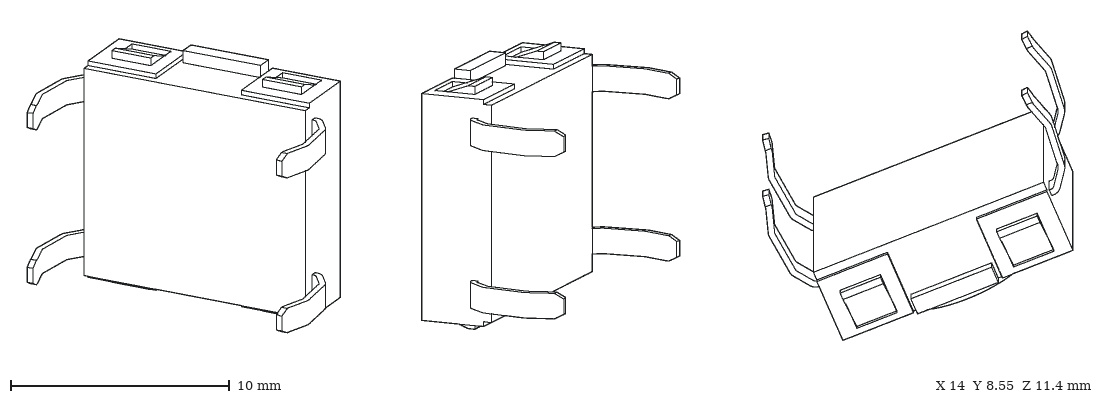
import cadquery as cq
import math


body_width = 11.4
body_depth = 3.5
body_height = 10.2
plate_height = 10.65
overall_height = 11.4
plate_width = 3.5
plate_setback = 0.4
rail_width = 4.0
rail_depth = 0.8

latch_size = 2.0
latch_edge_gap = 0.82
latch_start = 1.2
latch_flat = 0.34
ramp_zero = 2.53

button_diameter = 6.52
button_height = 1.05
button_round = 0.15

pin_width = 1.2
pin_pitch = 7.62
pin_thickness = 0.3
bend_outer_radius = 0.5
bend_inner_radius = bend_outer_radius - pin_thickness
pin_root_inset = 0.5
pin_tip_y = -4.0
pin_tip_width = 0.72
taper_start_y = -3.55

pin_outer_path = [
    (body_width / 2 - pin_root_inset, 0.97),
    (6.05, 0.97),
    (6.79, -0.05),
    (7.008, -2.23),
    (6.63, -3.45),
    (6.56, pin_tip_y),
]


def offset_path(path, distance):
    """Parallel copy of an open path, shifted to the right of its direction, with mitred corners."""
    angles = []
    for (x0, y0), (x1, y1) in zip(path, path[1:]):
        angles.append(math.atan2(y1 - y0, x1 - x0))
    before = [angles[0]] + angles
    after = angles + [angles[-1]]
    shifted = []
    for (x, y), a0, a1 in zip(path, before, after):
        bisector = (a0 + a1) / 2 - math.pi / 2
        reach = distance / math.cos((a1 - a0) / 2)
        shifted.append((x + reach * math.cos(bisector), y + reach * math.sin(bisector)))
    return shifted


def round_bends(pin, corners, radius):
    """Round the bend edges, which run along Z through the given corners."""
    reach = 0.01
    for x, y in corners:
        near_corner = cq.selectors.BoxSelector(
            (x - reach, y - reach, -pin_width), (x + reach, y + reach, pin_width)
        )
        pin = pin.edges(near_corner).fillet(radius)
    return pin


def make_housing():
    body = cq.Workplane("XY").box(
        body_width, body_depth, body_height, centered=(True, False, True)
    )
    plate_depth = body_depth - plate_setback
    for side in (-1, 1):
        plate = cq.Workplane("XY").box(
            plate_width, plate_depth, plate_height, centered=(True, False, True)
        )
        plate_x = side * (body_width - plate_width) / 2
        body = body.union(plate.translate((plate_x, plate_setback, 0)))
    rail = cq.Workplane("XY").box(
        rail_width, rail_depth, overall_height, centered=(True, False, True)
    )
    return body.union(rail.translate((0, body_depth - rail_depth, 0)))


def make_latches(housing):
    """Sink a window into each corner plate and fill it with a ramped nose."""
    latch_x = body_width / 2 - latch_edge_gap - latch_size / 2
    latch_end = latch_start + latch_size
    crest_end = latch_start + latch_flat
    crest_z = overall_height / 2
    plate_z = plate_height / 2
    ramp_slope = (crest_z - plate_z) / (ramp_zero - crest_end)
    floor_z = plate_z - ramp_slope * (latch_end - ramp_zero)

    nose_outline = [
        (latch_start, 0),
        (latch_start, crest_z),
        (crest_end, crest_z),
        (latch_end, floor_z),
        (latch_end, 0),
    ]
    nose = cq.Workplane("YZ").polyline(nose_outline).close().extrude(latch_size / 2, both=True)
    window = cq.Workplane("XY").box(
        latch_size, latch_size, crest_z - floor_z, centered=(True, False, False)
    )
    window = window.translate((0, latch_start, floor_z))
    for x in (-latch_x, latch_x):
        for turn in (0, 180):
            placed_window = window.translate((x, 0, 0)).rotate((0, 0, 0), (0, 1, 0), turn)
            placed_nose = nose.translate((x, 0, 0)).rotate((0, 0, 0), (0, 1, 0), turn)
            housing = housing.cut(placed_window).union(placed_nose)
    return housing


def make_button():
    button = cq.Workplane("XZ").circle(button_diameter / 2).extrude(-button_height)
    return button.faces(">Y").edges().fillet(button_round).translate((0, body_depth, 0))


def make_pin():
    """Bent strip on the +X side, tapered in width towards the tip."""
    inner_path = offset_path(pin_outer_path, pin_thickness)
    outline = pin_outer_path + inner_path[::-1]
    pin = cq.Workplane("XY").polyline(outline).close().extrude(pin_width / 2, both=True)

    convex_corners = pin_outer_path[1:4] + inner_path[4:5]
    concave_corners = inner_path[1:4] + pin_outer_path[4:5]
    pin = round_bends(pin, convex_corners, bend_outer_radius)
    pin = round_bends(pin, concave_corners, bend_inner_radius)

    root_y = pin_outer_path[0][1]
    taper = [
        (root_y, -pin_width / 2),
        (taper_start_y, -pin_width / 2),
        (pin_tip_y, -pin_tip_width / 2),
        (pin_tip_y, pin_tip_width / 2),
        (taper_start_y, pin_width / 2),
        (root_y, pin_width / 2),
    ]
    envelope = cq.Workplane("YZ").polyline(taper).close().extrude(body_width)
    return pin.intersect(envelope)


result = make_latches(make_housing()).union(make_button())
right_pin = make_pin()
left_pin = right_pin.mirror("YZ")
for pin_z in (-pin_pitch / 2, pin_pitch / 2):
    for pin in (left_pin, right_pin):
        result = result.union(pin.translate((0, 0, pin_z)))